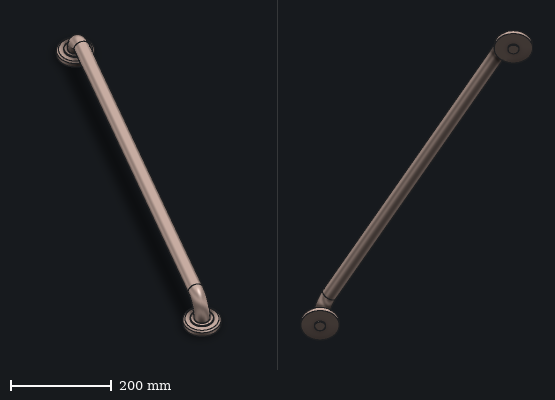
import cadquery as cq

overall_length = 889.0
overall_height = 74.0

bar_diameter = 32.0
bend_radius = 40.0

flange_diameter = 76.5
flange_bottom = 4.0
flange_edge_top = 13.0
flange_chamfer_width = 4.5
flange_top = 16.0
collar_diameter = 47.0
collar_top = 19.0
collar_chamfer = 1.0

plug_diameter = 22.0

bar_radius = bar_diameter / 2
flange_radius = flange_diameter / 2
collar_radius = collar_diameter / 2
post_x = overall_length / 2 - flange_radius
bar_axis_z = overall_height - bar_radius
bend_start_x = post_x - bend_radius
elbow_foot_z = bar_axis_z - bend_radius
end_sides = (-1, 1)


def make_bar():
    """Straight round bar between the two elbows."""
    return (
        cq.Workplane("YZ", origin=(-bend_start_x, 0, bar_axis_z))
        .circle(bar_radius)
        .extrude(2 * bend_start_x)
    )


def make_elbow(side):
    """Quarter bend from the vertical foot in the flange to the end of the bar."""
    return (
        cq.Workplane("XY", origin=(side * post_x, 0, elbow_foot_z))
        .circle(bar_radius)
        .revolve(90, (-side * bend_radius, 0), (-side * bend_radius, -side))
    )


def make_flange(side):
    """Turned flange, bored for the elbow above and for the plug below."""
    profile = [
        (0, flange_bottom),
        (flange_radius, flange_bottom),
        (flange_radius, flange_edge_top),
        (flange_radius - flange_chamfer_width, flange_top),
        (collar_radius, flange_top),
        (collar_radius, collar_top - collar_chamfer),
        (collar_radius - collar_chamfer, collar_top),
        (0, collar_top),
    ]
    body = cq.Workplane("XZ").polyline(profile).close().revolve(360, (0, 0), (0, 1))
    body = body.translate((side * post_x, 0, 0))
    return body.cut(make_elbow(side)).cut(make_plug(side))


def make_plug(side):
    """Plug from the foot of the elbow down to just below the flange."""
    return (
        cq.Workplane("XY", origin=(side * post_x, 0, 0))
        .circle(plug_diameter / 2)
        .extrude(elbow_foot_z)
    )


bar = make_bar()
elbows = [make_elbow(side) for side in end_sides]
flanges = [make_flange(side) for side in end_sides]
plugs = [make_plug(side) for side in end_sides]

result = cq.Compound.makeCompound(
    [body.val() for body in [bar, *elbows, *flanges, *plugs]]
)